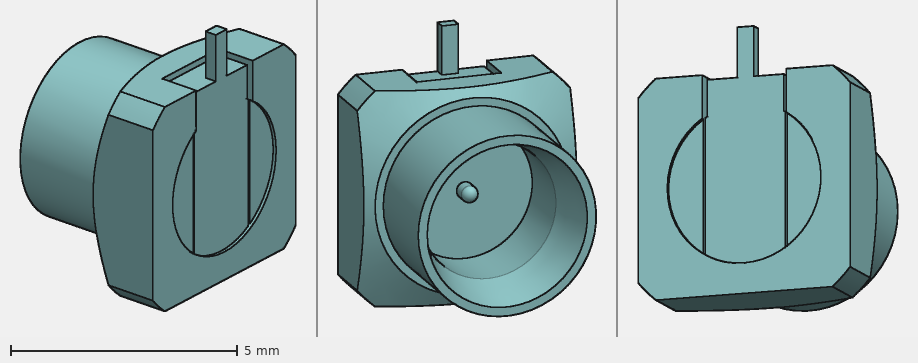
import cadquery as cq
import math

length = 4.12
body_side = 5.0
half_side = body_side / 2
terminal_top = 6.04 - half_side

barrel_radius = 2.09
barrel_length = 2.29
mouth_radius = 1.88
socket_radius = 1.58
taper_depth = 1.245
socket_depth = 2.78

corner_flat = 2.085
corner_radius = math.hypot(half_side, corner_flat)
bevel_start_radius = 2.285
bevel_angle = math.radians(30)
bevel_depth = (corner_radius - bevel_start_radius) * math.tan(bevel_angle)

insulator_radius = 1.81
insulator_width = 1.885
back_recess = 0.085
insulator_back = length - back_recess
slot_front = 3.15
slot_width = 1.98
arm_front = 3.23
arm_width = 1.8
arm_recess = 0.095

contact_width = 0.385
contact_length = 0.485
terminal_thickness = 0.295


def disc(radius, x_start, x_end):
    """Cylinder about the connector axis."""
    return cq.Workplane("YZ", origin=(x_start, 0, 0)).circle(radius).extrude(x_end - x_start)


def upright_box(x_start, x_end, width, top):
    """Box centered on Y that rises from the connector axis."""
    return (
        cq.Workplane("XY")
        .box(x_end - x_start, width, top, centered=(False, True, False))
        .translate((x_start, 0, 0))
    )


def full_height_box(x_start, x_end, width):
    """Box centered on the connector axis, as tall as the body."""
    return (
        cq.Workplane("XY")
        .box(x_end - x_start, width, body_side, centered=(False, True, True))
        .translate((x_start, 0, 0))
    )


def make_body():
    turned = (
        cq.Workplane("XY")
        .moveTo(barrel_length, 0)
        .lineTo(barrel_length, bevel_start_radius)
        .lineTo(barrel_length + bevel_depth, corner_radius)
        .lineTo(length, corner_radius)
        .lineTo(length, 0)
        .close()
        .revolve(360, (0, 0, 0), (1, 0, 0))
    )
    square = cq.Workplane("YZ").rect(body_side, body_side).extrude(length)
    return turned.intersect(square)


def make_socket():
    return (
        cq.Workplane("XY")
        .lineTo(0, mouth_radius)
        .lineTo(taper_depth, socket_radius)
        .lineTo(socket_depth, socket_radius)
        .lineTo(socket_depth, 0)
        .close()
        .revolve(360, (0, 0, 0), (1, 0, 0))
    )


shell = make_body().union(disc(barrel_radius, 0, barrel_length)).cut(make_socket())
slot = upright_box(slot_front, length, slot_width, half_side)
slot = slot.cut(disc(insulator_radius, slot_front, insulator_back))
shell = shell.cut(slot).cut(disc(insulator_radius, insulator_back, length))

gaps = disc(insulator_radius, slot_front, length).intersect(
    full_height_box(slot_front, length, slot_width)
)
gaps = gaps.cut(full_height_box(slot_front, length, insulator_width))
shell = shell.cut(gaps)

arm = upright_box(arm_front, insulator_back, arm_width, half_side - arm_recess)
terminal = upright_box(insulator_back - terminal_thickness, insulator_back, contact_width, terminal_top)

contact_radius = contact_width / 2
nose_center = socket_depth - contact_length + contact_radius
contact = disc(contact_radius, nose_center, socket_depth)
contact = contact.union(cq.Workplane("XY").sphere(contact_radius).translate((nose_center, 0, 0)))

result = shell.union(arm).union(terminal).union(contact)